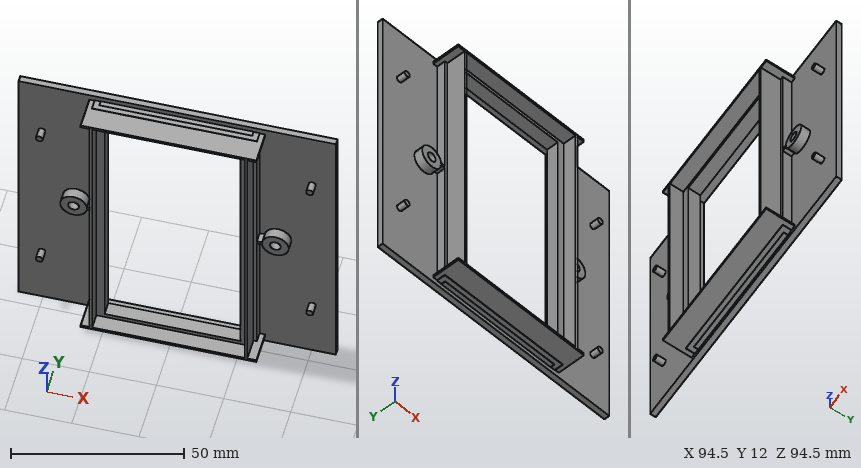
import cadquery as cq

plate_size = 94.5
plate_thickness = 2.0
total_depth = 12.0
plate_front = total_depth - plate_thickness

pocket_width = 45.4
pocket_height = 88.8
window_width = 40.4
window_height = 86.2
recess_width = pocket_width
recess_height = 90.2
lip_front = 4.7
recess_depth = 3.0

wall_width = 47.1
wall_base_width = 48.9
flange_width = 52.4
flange_thickness = 0.85
frame_height = pocket_height + 2 * flange_thickness

ridge_width = 49.1
ridge_height = 0.2
ridge_top_width = 45.55
ridge_top_depth = 1.5
ridge_top_height = 0.1

projection = 3.1
boss_spacing = 60.1
boss_diameter = 7.9
boss_hole_diameter = 3.2
rib_thickness = 1.0
pin_diameter = 2.1
pin_spacing_x = 80.5
pin_spacing_z = 54.1


def block(width, height, y_start, y_end):
    """Box centred on X and Z, spanning the given Y range."""
    depth = y_end - y_start
    return cq.Workplane("XY").box(width, depth, height).translate((0, (y_start + y_end) / 2, 0))


def cylinders(points, diameter, y_start, y_end):
    """Cylinders along Y at the given (X, Z) points."""
    plane = cq.Workplane("XZ", origin=(0, y_start, 0))
    return plane.pushPoints(points).circle(diameter / 2).extrude(y_start - y_end)


projection_start = plate_front - projection
plate = block(plate_size, plate_size, plate_front, total_depth)

frame = block(wall_width, frame_height, 0, plate_front)
frame = frame.union(block(wall_base_width, frame_height, projection_start, plate_front))
for side in (-1, 1):
    flange = block(flange_width, flange_thickness, 0, plate_front)
    frame = frame.union(flange.translate((0, 0, side * (frame_height - flange_thickness) / 2)))

ridge_total = frame_height + 2 * ridge_height
frame = frame.union(block(ridge_width, ridge_total, projection_start, plate_front))
ridge_top_start = plate_front - ridge_top_depth
frame = frame.union(
    block(ridge_top_width, ridge_total + 2 * ridge_top_height, ridge_top_start, plate_front)
)

boss_points = [(side * boss_spacing / 2, 0) for side in (-1, 1)]
pin_points = [(sx * pin_spacing_x / 2, sz * pin_spacing_z / 2) for sx in (-1, 1) for sz in (-1, 1)]
bosses = cylinders(boss_points, boss_diameter, projection_start, plate_front)
ribs = block(boss_spacing, rib_thickness, projection_start, plate_front)
pins = cylinders(pin_points, pin_diameter, projection_start, plate_front)

result = plate.union(frame).union(ribs).union(bosses).union(pins)

result = result.cut(cylinders(boss_points, boss_hole_diameter, projection_start, total_depth))
result = result.cut(block(window_width, window_height, 0, total_depth))
result = result.cut(block(pocket_width, pocket_height, 0, lip_front))
result = result.cut(block(recess_width, recess_height, total_depth - recess_depth, total_depth))
result = result.translate((0, -total_depth / 2, 0))